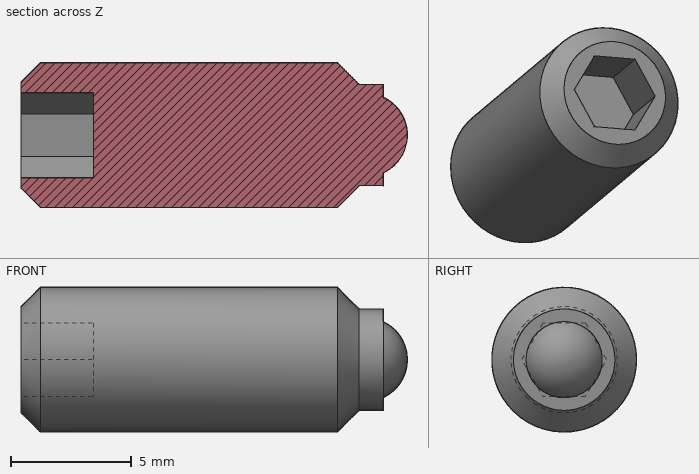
import cadquery as cq
import math

total_length = 16.0
body_diameter = 6.0
socket_end_chamfer = 0.8
tip_end_chamfer = 0.9

nose_diameter = body_diameter - 2 * tip_end_chamfer
nose_length = 1.0

ball_diameter = 3.48
ball_protrusion = 1.0

socket_across_flats = 3.04
socket_depth = 3.0
hex_sides = 6

nose_end_x = total_length - ball_protrusion
body_end_x = nose_end_x - nose_length


def make_screw_blank():
    """Chamfered body, nose and protruding ball cap, revolved about X."""
    body_radius = body_diameter / 2
    nose_radius = nose_diameter / 2
    ball_radius = ball_diameter / 2

    ball_center_x = total_length - ball_radius
    cap_base_radius = math.sqrt(ball_radius**2 - (nose_end_x - ball_center_x) ** 2)
    cap_middle_angle = math.atan2(cap_base_radius, nose_end_x - ball_center_x) / 2
    cap_middle = (
        ball_center_x + ball_radius * math.cos(cap_middle_angle),
        ball_radius * math.sin(cap_middle_angle),
    )

    half_profile = (
        cq.Workplane("XY")
        .moveTo(0, 0)
        .lineTo(0, body_radius - socket_end_chamfer)
        .lineTo(socket_end_chamfer, body_radius)
        .lineTo(body_end_x - tip_end_chamfer, body_radius)
        .lineTo(body_end_x, nose_radius)
        .lineTo(nose_end_x, nose_radius)
        .lineTo(nose_end_x, cap_base_radius)
        .threePointArc(cap_middle, (total_length, 0))
        .close()
    )
    return half_profile.revolve(360, (0, 0, 0), (1, 0, 0))


def make_socket():
    """Flat-bottomed hexagonal socket with two of its corners on the Y axis."""
    across_corners = socket_across_flats / math.cos(math.pi / hex_sides)
    return cq.Workplane("YZ").polygon(hex_sides, across_corners).extrude(socket_depth)


result = make_screw_blank().cut(make_socket())